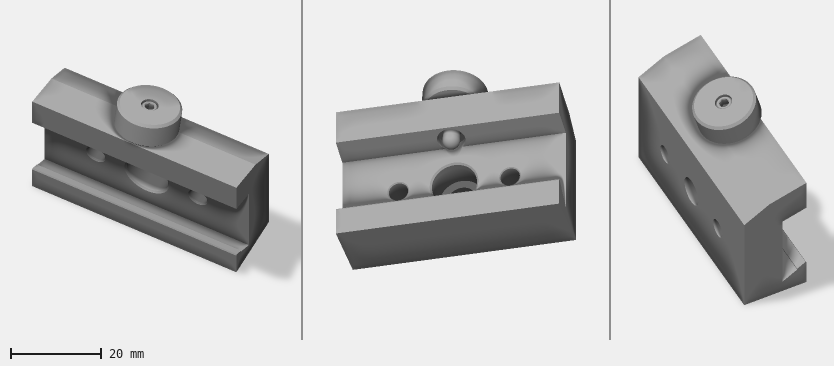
import cadquery as cq
import math


LENGTH = 50.8
DEPTH = 15.45
BACK_HEIGHT = 25.55
FRONT_HEIGHT = 31.65
WEB_FRONT = 5.95
RIDGE_Y = 9.15
UPPER_JAW_TIP = 23.7
JAW_TILT = 15.0
LOWER_JAW_TILT = 30.0
LOWER_JAW_ROOT = 2.95
STEP_Y = 2.3
STEP_RISE = 0.25
TIP_FLAT = 0.2
TIP_DROP = 0.3

CHAMFER_ANGLE = 45.0

HOLE_Z = 12.7
BORE_DIAMETER = 6.7
COUNTERBORE_DIAMETER = 10.25
COUNTERBORE_DEPTH = 7.1
COUNTERBORE_CHAMFER = 0.4
SIDE_HOLE_X = 12.7
SIDE_HOLE_DIAMETER = 4.35
SIDE_HOLE_CHAMFER = 0.25

SCREW_RUN = 5.7
SCREW_DIAMETER = 3.9
SCREW_RECESS = 0.3
SCREW_CHAMFER = 0.4
BALL_PROTRUSION = 0.4
SOCKET_FLATS = 2.0
SOCKET_DEPTH = 2.05
SOCKET_MOUTH_DIAMETER = 2.45
SOCKET_MOUTH_DEPTH = 0.25
RELIEF_DIAMETER = 6.3
RELIEF_LENGTH = 8.15
RELIEF_DEPTH = 2.05

KNOB_DIAMETER = 14.55
KNOB_HEIGHT = 6.35
KNOB_CHAMFER = 0.55
HUB_DIAMETER = 4.85
HUB_HEIGHT = 1.2

tilt = math.radians(JAW_TILT)
jaw_slope = math.tan(tilt)
lower_slope = math.tan(math.radians(LOWER_JAW_TILT))
jaw_thickness = (FRONT_HEIGHT - UPPER_JAW_TIP) * math.cos(tilt)
ball_radius = SCREW_DIAMETER / 2
ball_center = -(jaw_thickness + BALL_PROTRUSION)
knob_top = HUB_HEIGHT + KNOB_HEIGHT
screw_top = knob_top - SCREW_RECESS

axis_origin = (0, SCREW_RUN * math.cos(tilt), FRONT_HEIGHT - SCREW_RUN * math.sin(tilt))
axis_direction = (0, math.sin(tilt), math.cos(tilt))
screw_plane = cq.Plane(origin=axis_origin, xDir=(1, 0, 0), normal=axis_direction)


def along_screw(offset):
    """Workplane square to the screw axis, offset outward from the sloped top."""
    return cq.Workplane(screw_plane).workplane(offset=offset)


def channel_floor(x):
    """Workplane on the channel floor at hole height, facing into the web."""
    plane = cq.Plane(origin=(x, WEB_FRONT, HOLE_Z), xDir=(1, 0, 0), normal=(0, 1, 0))
    return cq.Workplane(plane)


def front_cylinder(x, diameter, depth):
    """Cylinder running back from the channel floor."""
    return channel_floor(x).circle(diameter / 2).extrude(depth)


def front_countersink(x, diameter, chamfer):
    """Cone that chamfers a hole of this diameter at the channel floor."""
    return channel_floor(x).circle(diameter / 2 + chamfer).extrude(chamfer, taper=CHAMFER_ANGLE)


def housing_blank():
    step_low = LOWER_JAW_ROOT + (WEB_FRONT - STEP_Y) * lower_slope
    step_high = step_low + STEP_RISE
    tip_z = step_high + (STEP_Y - TIP_FLAT) * lower_slope
    outline = [
        (0, 0),
        (DEPTH, 0),
        (DEPTH, BACK_HEIGHT),
        (RIDGE_Y, FRONT_HEIGHT - RIDGE_Y * jaw_slope),
        (0, FRONT_HEIGHT),
        (0, UPPER_JAW_TIP),
        (WEB_FRONT, UPPER_JAW_TIP - WEB_FRONT * jaw_slope),
        (WEB_FRONT, LOWER_JAW_ROOT),
        (STEP_Y, step_low),
        (STEP_Y, step_high),
        (TIP_FLAT, tip_z),
        (0, tip_z - TIP_DROP),
    ]
    return cq.Workplane("YZ").polyline(outline).close().extrude(LENGTH / 2, both=True)


def make_housing():
    body = housing_blank()
    web = DEPTH - WEB_FRONT

    body = body.cut(front_cylinder(0, BORE_DIAMETER, web))
    body = body.cut(front_cylinder(0, COUNTERBORE_DIAMETER, COUNTERBORE_DEPTH))
    body = body.cut(front_countersink(0, COUNTERBORE_DIAMETER, COUNTERBORE_CHAMFER))

    for x in (-SIDE_HOLE_X, SIDE_HOLE_X):
        body = body.cut(front_cylinder(x, SIDE_HOLE_DIAMETER, web))
        body = body.cut(front_countersink(x, SIDE_HOLE_DIAMETER, SIDE_HOLE_CHAMFER))

    body = body.cut(along_screw(0).circle(SCREW_DIAMETER / 2).extrude(-jaw_thickness))
    relief_end = RELIEF_DEPTH - jaw_thickness
    relief = along_screw(relief_end).circle(RELIEF_DIAMETER / 2).extrude(-RELIEF_LENGTH)
    return body.cut(relief)


def make_knob():
    head = along_screw(HUB_HEIGHT).circle(KNOB_DIAMETER / 2).extrude(KNOB_HEIGHT)
    head = head.edges("%CIRCLE").chamfer(KNOB_CHAMFER)
    hub = along_screw(0).circle(HUB_DIAMETER / 2).extrude(HUB_HEIGHT)
    bore = along_screw(0).circle(SCREW_DIAMETER / 2).extrude(knob_top)
    return head.union(hub).cut(bore)


def make_screw():
    shank_length = screw_top - SCREW_CHAMFER - ball_center
    shank = along_screw(ball_center).circle(ball_radius).extrude(shank_length)
    end = along_screw(screw_top - SCREW_CHAMFER).circle(ball_radius)
    chamfered_end = end.extrude(SCREW_CHAMFER, taper=CHAMFER_ANGLE)
    ball = along_screw(ball_center).sphere(ball_radius)

    corner_circle = SOCKET_FLATS / math.cos(math.pi / 6)
    socket = along_screw(screw_top).polygon(6, corner_circle).extrude(-SOCKET_DEPTH)
    mouth = along_screw(screw_top).circle(SOCKET_MOUTH_DIAMETER / 2)
    socket_mouth = mouth.extrude(-SOCKET_MOUTH_DEPTH, taper=CHAMFER_ANGLE)
    return shank.union(chamfered_end).union(ball).cut(socket).cut(socket_mouth)


housing = make_housing().solids()
knob = make_knob().solids()
screw = make_screw().solids()

result = cq.Compound.makeCompound([housing.val(), knob.val(), screw.val()])